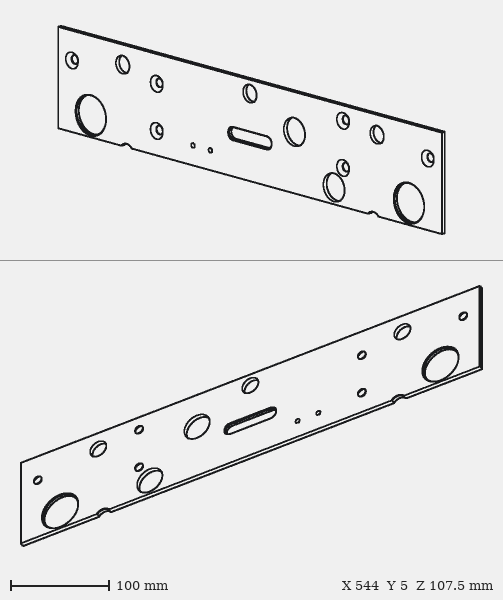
import cadquery as cq

LENGTH = 544.0
THICKNESS = 5.0
HEIGHT = 107.5

BOTH_FACES = "<Y or >Y"
EDGE_CHAMFER = 0.5
OPENING_CHAMFER = 1.0

FIXING_DIAMETER = 19.0
FIXING_SPACING = 360.0
FIXING_Z = 32.5
CENTRE_FIXING_Z = 39.0
fixing_centres = [
    (-FIXING_SPACING / 2, FIXING_Z),
    (0, CENTRE_FIXING_Z),
    (FIXING_SPACING / 2, FIXING_Z),
]

CABLE_DIAMETER = 30.0
cable_centres = [(63.0, 11.5), (119.0, -36.0)]

PORT_DIAMETER = 41.5
PORT_SPACING = 450.5
PORT_Z = -30.5
port_centres = [(-PORT_SPACING / 2, PORT_Z), (PORT_SPACING / 2, PORT_Z)]

PIN_DIAMETER = 5.0
PIN_Z = -32.5
pin_centres = [(-80.5, PIN_Z), (-56.0, PIN_Z)]

SCREW_DIAMETER = 9.0
SCREW_HEAD_DIAMETER = 17.5
SCREW_HEAD_ANGLE = 90
END_SCREW_SPACING = 504.0
INNER_SCREW_SPACING = 264.0
SCREW_PAIR_PITCH = 50.0
LEFT_SCREW_Z = 22.5
RIGHT_SCREW_Z = 37.5
screw_centres = [
    (-END_SCREW_SPACING / 2, LEFT_SCREW_Z),
    (END_SCREW_SPACING / 2, LEFT_SCREW_Z),
    (-INNER_SCREW_SPACING / 2, LEFT_SCREW_Z),
    (-INNER_SCREW_SPACING / 2, LEFT_SCREW_Z - SCREW_PAIR_PITCH),
    (INNER_SCREW_SPACING / 2, RIGHT_SCREW_Z),
    (INNER_SCREW_SPACING / 2, RIGHT_SCREW_Z - SCREW_PAIR_PITCH),
]

SLOT_LENGTH = 60.0
SLOT_WIDTH = 12.5
SLOT_Z = -8.0

NOTCH_DIAMETER = 17.5
NOTCH_DEPTH = 3.0
NOTCH_SPACING = 349.0
NOTCH_Z = -HEIGHT / 2 + NOTCH_DEPTH - NOTCH_DIAMETER / 2
notch_centres = [(-NOTCH_SPACING / 2, NOTCH_Z), (NOTCH_SPACING / 2, NOTCH_Z)]


def front_face(body):
    """Workplane on the front face, with local axes along X and Z through the origin."""
    return body.faces("<Y").workplane(origin=(0, 0, 0))


def drill(body, centres, diameter):
    """Cut plain round holes through the plate."""
    return front_face(body).pushPoints(centres).circle(diameter / 2).cutThruAll()


def countersink(body, centres):
    """Cut the countersunk screw holes through the plate."""
    sketch = front_face(body).pushPoints(centres)
    return sketch.cskHole(SCREW_DIAMETER, SCREW_HEAD_DIAMETER, SCREW_HEAD_ANGLE)


def chamfer_openings(body):
    """Chamfer the rim of every opening on both faces, leaving the outer outline alone."""
    rims = [wire for face in body.faces(BOTH_FACES).vals() for wire in face.innerWires()]
    return body.newObject(rims).edges().chamfer(OPENING_CHAMFER)


plate = cq.Workplane("XY").box(LENGTH, THICKNESS, HEIGHT)

plate = drill(plate, notch_centres, NOTCH_DIAMETER)
plate = plate.faces(BOTH_FACES).edges("|Z or %CIRCLE").chamfer(EDGE_CHAMFER)

plate = drill(plate, port_centres, PORT_DIAMETER)
plate = front_face(plate).center(0, SLOT_Z).slot2D(SLOT_LENGTH, SLOT_WIDTH).cutThruAll()
plate = chamfer_openings(plate)

plate = drill(plate, fixing_centres, FIXING_DIAMETER)
plate = drill(plate, cable_centres, CABLE_DIAMETER)
plate = drill(plate, pin_centres, PIN_DIAMETER)
plate = countersink(plate, screw_centres)

result = plate